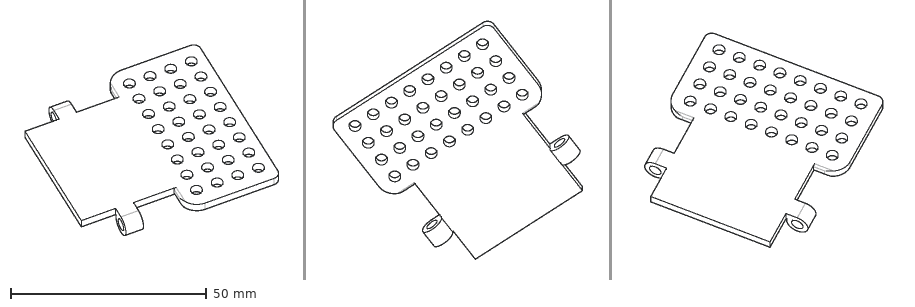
import cadquery as cq

total_length = 52.7
plate_width = 50.0
plate_length = 26.5
thickness = 2.5
rear_corner_radius = 2.0
front_corner_radius = 5.0
rear_y = total_length / 2
front_y = -total_length / 2
plate_front_y = rear_y - plate_length

tongue_width = 34.0
tongue_tip_width = 33.6

lug_spacing = 40.0
lug_diameter = 6.0
lug_hole_diameter = 3.2
lug_length = 5.0
lug_front_y = front_y + 9.7
lug_rear_y = lug_front_y + lug_length

hole_diameter = 3.0
hole_columns = 8
hole_rows = 4
column_pitch = lug_spacing / (hole_columns - 1)
row_pitch = 5.85
rear_row_inset = 4.05

front_edge_radius = 0.6


def block(width, y_start, y_end):
    """Slab of plate thickness, centred on X, with its top at Z = 0."""
    return (
        cq.Workplane("XY")
        .box(width, y_end - y_start, thickness, centered=(True, False, False))
        .translate((0, y_start, -thickness))
    )


def make_plate():
    """Plate with rounded corners; the front edge rounds run straight out through the corners."""
    outline = block(plate_width, plate_front_y, rear_y)
    outline = outline.edges("|Z and >Y").fillet(rear_corner_radius)
    outline = outline.edges("|Z and <Y").fillet(front_corner_radius)
    slab = block(plate_width, plate_front_y, rear_y)
    slab = slab.edges("|X and <Y").fillet(front_edge_radius)
    return outline.intersect(slab)


def make_tongue():
    tip = block(tongue_tip_width, front_y, lug_rear_y)
    root = block(tongue_width, lug_front_y, plate_front_y + front_corner_radius)
    return tip.union(root)


def lug_cylinders(diameter):
    """Cylinders along Y on both hinge axes, tangent to the top face plane of the lugs."""
    return (
        cq.Workplane("XZ", origin=(0, lug_rear_y, -lug_diameter / 2))
        .pushPoints([(-lug_spacing / 2, 0), (lug_spacing / 2, 0)])
        .circle(diameter / 2)
        .extrude(lug_length)
    )


def make_lugs():
    bridge = block(lug_spacing, lug_front_y, lug_rear_y)
    lugs = bridge.union(lug_cylinders(lug_diameter))
    return lugs.cut(lug_cylinders(lug_hole_diameter))


def make_holes():
    grid_center_y = rear_y - rear_row_inset - row_pitch * (hole_rows - 1) / 2
    return (
        cq.Workplane("XY", origin=(0, grid_center_y, -thickness))
        .rarray(column_pitch, row_pitch, hole_columns, hole_rows)
        .circle(hole_diameter / 2)
        .extrude(thickness)
    )


result = make_plate().union(make_tongue()).union(make_lugs()).cut(make_holes())